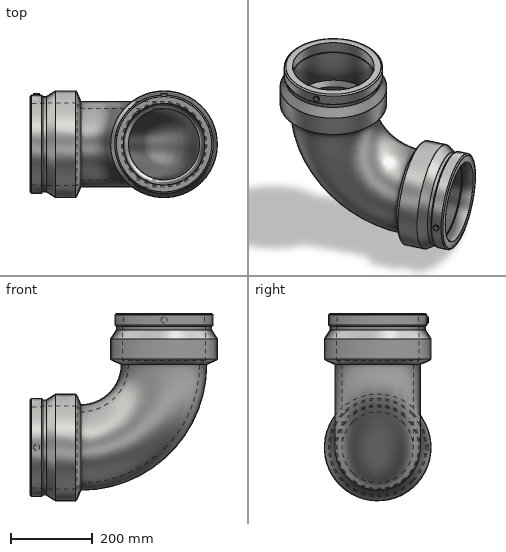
import cadquery as cq

overall_length = 459.5
sleeve_radius = 262.0 / 2
axis_offset = overall_length - sleeve_radius

lip_radius = 241.0 / 2
neck_radius = 234.0 / 2
mouth_radius = 200.0 / 2
socket_bore_radius = 203.5 / 2
pipe_radius = 210.0 / 2
pipe_bore_radius = 174.5 / 2
shoulder_radius = 127.5

lip_chamfer_depth = 3.0
lip_depth = 28.0
neck_start_depth = 31.2
neck_end_depth = 40.0
sleeve_start_depth = 62.5
sleeve_end_depth = 111.5
shoulder_depth = 115.0
socket_length = 124.5

bend_radius = axis_offset - socket_length

stud_diameter = 14.5
stud_depth = 15.5
stud_height = 3.5
stud_embed = 4.5


def revolve_x(profile):
    """Revolve (depth, radius) points about the X axis."""
    return cq.Workplane("XY").polyline(profile).close().revolve(360, (0, 0, 0), (1, 0, 0))


def socket_body():
    """Outer shape of a socket, open end at X = 0, with its stud."""
    body = revolve_x([
        (0, 0),
        (0, neck_radius),
        (lip_chamfer_depth, lip_radius),
        (lip_depth, lip_radius),
        (neck_start_depth, neck_radius),
        (neck_end_depth, neck_radius),
        (sleeve_start_depth, sleeve_radius),
        (sleeve_end_depth, sleeve_radius),
        (shoulder_depth, shoulder_radius),
        (socket_length, pipe_radius),
        (socket_length, 0),
    ])
    stud = (
        cq.Workplane("XZ", origin=(stud_depth, lip_radius + stud_height, 0))
        .circle(stud_diameter / 2)
        .extrude(stud_height + stud_embed)
    )
    return body.union(stud)


def socket_cavity():
    """Stepped bore of a socket, tapering down to the pipe bore."""
    return revolve_x([
        (0, 0),
        (0, mouth_radius),
        (lip_depth, mouth_radius),
        (neck_start_depth, socket_bore_radius),
        (shoulder_depth, socket_bore_radius),
        (socket_length, pipe_bore_radius),
        (socket_length, 0),
    ])


def bend(radius):
    """Quarter torus joining the inner ends of the two sockets."""
    return (
        cq.Workplane("YZ", origin=(socket_length, 0, sleeve_radius))
        .circle(radius)
        .revolve(90, (4.5, bend_radius, 0), (-4.5, bend_radius, 0))
    )


def place_side(shape):
    """Socket opening toward -X at the lower end of the bend."""
    return shape.translate((0, 0, sleeve_radius))


def place_top(shape):
    """Socket opening toward +Z at the upper end of the bend."""
    return shape.rotate((0, 0, 0), (0, 1, 0), 90).translate((axis_offset, 0, overall_length))


def elbow(socket, bend_section_radius):
    """Join both sockets with the bend."""
    return bend(bend_section_radius).union(place_side(socket)).union(place_top(socket))


result = elbow(socket_body(), pipe_radius).cut(elbow(socket_cavity(), pipe_bore_radius))